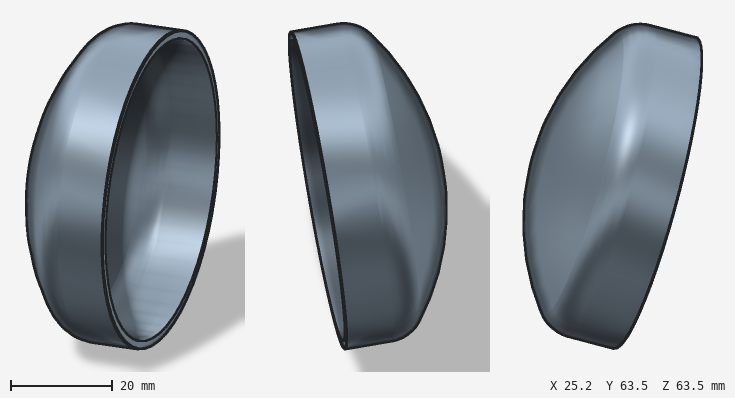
import cadquery as cq
import math

outer_diameter = 63.5
bore_diameter = 60.2
height = 25.15
skirt_length = 9.5
knuckle_radius = 7.3
rim_chamfer = 0.2

outer_radius = outer_diameter / 2
wall = (outer_diameter - bore_diameter) / 2

knuckle_center_x = height - skirt_length
knuckle_center_y = outer_radius - knuckle_radius

dome_radius = (knuckle_center_x**2 + knuckle_center_y**2 - knuckle_radius**2) / (
    2 * (knuckle_center_x - knuckle_radius)
)
tangent_angle = math.atan2(knuckle_center_y, dome_radius - knuckle_center_x)


def arc_point(center_x, center_y, radius, angle):
    """Point on an arc, with the angle measured from the -X direction towards +Y."""
    return (center_x - radius * math.cos(angle), center_y + radius * math.sin(angle))


def dished_solid(inset):
    """Solid dished shape about the X axis, with its curved outside moved inward by inset."""
    sphere_radius = dome_radius - inset
    round_radius = knuckle_radius - inset
    skirt_angle = math.pi / 2

    dome_middle = arc_point(dome_radius, 0, sphere_radius, tangent_angle / 2)
    dome_end = arc_point(dome_radius, 0, sphere_radius, tangent_angle)
    knuckle_middle = arc_point(
        knuckle_center_x, knuckle_center_y, round_radius, (tangent_angle + skirt_angle) / 2
    )
    skirt_start = (knuckle_center_x, outer_radius - inset)

    return (
        cq.Workplane("XY")
        .moveTo(inset, 0)
        .threePointArc(dome_middle, dome_end)
        .threePointArc(knuckle_middle, skirt_start)
        .lineTo(height, outer_radius - inset)
        .lineTo(height, 0)
        .close()
        .revolve(360, (0, 0, 0), (1, 0, 0))
    )


outside = dished_solid(0).faces(">X").edges().chamfer(rim_chamfer)
cavity = dished_solid(wall)
result = outside.cut(cavity)